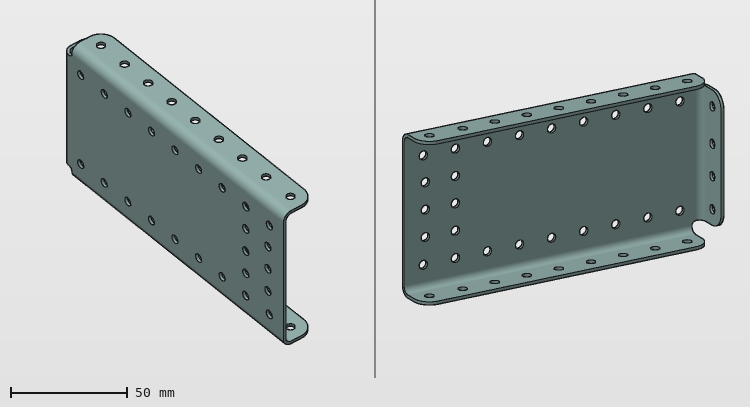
import cadquery as cq

length = 150.0
depth = 17.5
height = 75.0
thickness = 1.5
bend_radius = 4.5
half_height = height / 2

relief = 6.5
relief_radius = relief - bend_radius
flange_corner_radius = 7.5

hole_diameter = 4.0
web_hole_margin = 12.5
row_count = 9
row_length = 128.0
row_pitch = row_length / (row_count - 1)
web_row_z = half_height - web_hole_margin
grid_pitch_z = web_row_z / 2
grid_pitch_x = 15.0
flange_edge_distance = 7.5
flange_hole_y = depth - flange_edge_distance
long_flange_first_x = 14.0
long_flange_last_x = 142.5
end_flange_hole_z = [-23.7, -8.5, 6.3, 23.4]


def bent_shell():
    """Tray with flanges at the left, top and bottom; open at the right end."""
    outer = (
        cq.Workplane("XY")
        .box(length, depth, height, centered=(False, False, True))
        .edges("<Y and (<X or <Z or >Z)")
        .fillet(bend_radius)
    )
    inner = (
        cq.Workplane("XY")
        .box(length, depth, height - 2 * thickness, centered=(False, False, True))
        .translate((thickness, thickness, 0))
        .edges("<Y and (<X or <Z or >Z)")
        .fillet(bend_radius - thickness)
    )
    return outer.cut(inner)


def corner_relief(side):
    """Rounded notch separating the end flange from the long flange on one side."""
    return (
        cq.Workplane("XY")
        .box(relief, depth, relief, centered=(False, False, True))
        .translate((0, 0, side * (half_height - relief / 2)))
        .edges("|Y and >X and " + ("<Z" if side > 0 else ">Z"))
        .fillet(relief_radius)
    )


def long_flange_profile():
    """Prism limiting the free corners of the top and bottom flanges."""
    return (
        cq.Workplane("XY")
        .box(length - relief, depth, height, centered=(False, False, True))
        .translate((relief, 0, 0))
        .edges("|Z and >Y")
        .fillet(flange_corner_radius)
    )


def end_flange_profile():
    """Prism limiting the free corners of the left flange."""
    return (
        cq.Workplane("XY")
        .box(relief, depth, height - 2 * relief, centered=(False, False, True))
        .edges("|X and >Y")
        .fillet(flange_corner_radius)
    )


def flat_web_profile():
    """Prism over the flat web, keeping the material around the rounded reliefs."""
    return (
        cq.Workplane("XY")
        .box(length - bend_radius, thickness, height - 2 * bend_radius, centered=(False, False, True))
        .translate((bend_radius, 0, 0))
    )


def web_hole_points():
    """Two long rows of holes and two short columns near the right end."""
    points = []
    for i in range(row_count):
        x = web_hole_margin + i * row_pitch
        points += [(x, -web_row_z), (x, web_row_z)]
    first_column_x = web_hole_margin + (row_count - 2) * row_pitch
    for x in (first_column_x, first_column_x + grid_pitch_x):
        points += [(x, row * grid_pitch_z) for row in (-1, 0, 1)]
    return points


def hole_cutter(plane, points, reach):
    """Round cutters extending both ways from a plane."""
    return cq.Workplane(plane).pushPoints(points).circle(hole_diameter / 2).extrude(reach, both=True)


result = bent_shell()
for side in (-1, 1):
    result = result.cut(corner_relief(side))
flange_limits = long_flange_profile().union(end_flange_profile()).union(flat_web_profile())
result = result.intersect(flange_limits)

long_flange_x = [long_flange_first_x + i * row_pitch for i in range(row_count - 1)]
long_flange_x.append(long_flange_last_x)
long_flange_points = [(x, flange_hole_y) for x in long_flange_x]
end_flange_points = [(flange_hole_y, z) for z in end_flange_hole_z]

result = result.cut(hole_cutter("XZ", web_hole_points(), 2 * thickness))
result = result.cut(hole_cutter("XY", long_flange_points, height))
result = result.cut(hole_cutter("YZ", end_flange_points, 2 * thickness))